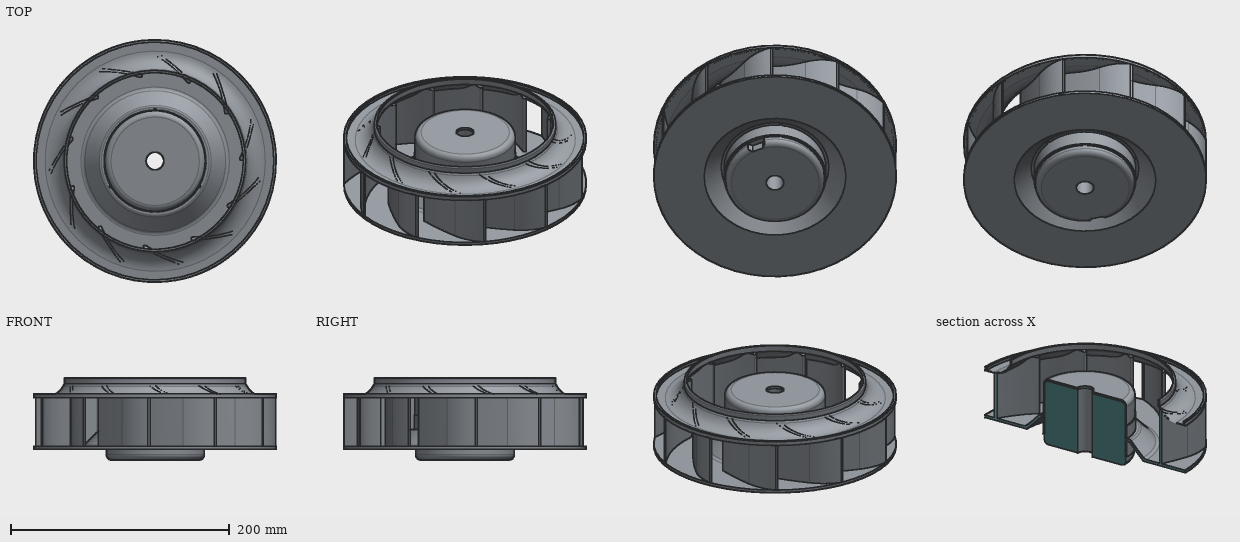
import cadquery as cq
import math

OUTER_RADIUS = 110.9
TOTAL_HEIGHT = 75.2
SHAFT_HOLE_RADIUS = 8.0

PLATE_BOTTOM = 9.8
PLATE_THICKNESS = 2.9
PLATE_TOP = PLATE_BOTTOM + PLATE_THICKNESS
CONE_FOOT_RADIUS = 65.9
COLLAR_CORNER_RADIUS = 50.3
COLLAR_BORE_RADIUS = 46.5
COLLAR_TOP = PLATE_TOP + CONE_FOOT_RADIUS - COLLAR_CORNER_RADIUS
FOOT_BLEND = 2.0
COLLAR_BLEND = 1.0
NOTCH_COUNT = 3
NOTCH_RADIUS = 1.0
FIRST_NOTCH_ANGLE = 90.0

SHROUD_WALL = 1.0
RIM_TOP = 60.5
RIM_BOTTOM = 56.8
RIM_WIDTH = 2.2
DISC_TOP = RIM_BOTTOM + SHROUD_WALL
FLARE_START_RADIUS = 100.7
FLARE_RADIUS = 18.8
FLARE_ANGLE = 62.0
UNDERSIDE_RADIUS = FLARE_RADIUS + SHROUD_WALL
FLARE_CENTER_Z = DISC_TOP + FLARE_RADIUS
RING_OUTER_RADIUS = 83.0
RING_WALL = 2.2
RING_INNER_RADIUS = RING_OUTER_RADIUS - RING_WALL
RING_BOTTOM = 69.6
RING_EDGE_ROUND = 0.7

BLADE_COUNT = 11
FIRST_BLADE_ANGLE = -93.4
CONVEX_OUTER = (OUTER_RADIUS, 0.0)
CONVEX_OUTER_MIDDLE = (106.5, -6.8)
CONVEX_JOINT = (98.9, -14.4)
CONVEX_INNER = (80.5, -36.6)
NOSE_TIP = (78.3, -36.9)
CONCAVE_INNER = (77.8, -35.3)
CONCAVE_MIDDLE = (96.2, -13.5)
CONCAVE_OUTER = (OUTER_RADIUS, 1.1)
BLADE_TIP_DROP = 4.0
BLADE_SPACE_INNER_RADIUS = 71.0

ROTOR_TOP = 65.6
ROTOR_RADIUS = 46.0
ROTOR_SKIRT_TOP = 41.0
ROTOR_ROUND = 5.5
ROTOR_CAP = 2.2
ROTOR_WALL = 1.5
CAVITY_RADIUS = ROTOR_RADIUS - ROTOR_WALL
CAVITY_TOP = ROTOR_TOP - ROTOR_CAP
CAVITY_ROUND = ROTOR_ROUND - ROTOR_WALL

STATOR_RADIUS = 45.2
STATOR_ROUND = 5.0
CABLE_NOTCH_DEPTH = 5.5
CABLE_NOTCH_WIDTH = 16.2
CABLE_NOTCH_CHAMFER = 3.0


def revolve(profile):
    """Turn a closed (radius, z) profile about the Z axis."""
    return profile.close().revolve(360, (0, 0, 0), (0, 1, 0))


def cylinder(radius, bottom, top):
    return cq.Workplane("XY").workplane(offset=bottom).circle(radius).extrude(top - bottom)


def polar(point):
    radius, angle = point
    return (radius * math.cos(math.radians(angle)), radius * math.sin(math.radians(angle)))


def flare_point(radius, angle):
    """Point on a flare arc, with the angle counted from its lowest point."""
    return (
        FLARE_START_RADIUS - radius * math.sin(math.radians(angle)),
        FLARE_CENTER_Z - radius * math.cos(math.radians(angle)),
    )


def make_hub():
    slope = math.sqrt(0.5)
    shift = PLATE_THICKNESS * math.tan(math.radians(22.5))
    profile = (
        cq.Workplane("XZ")
        .moveTo(OUTER_RADIUS, PLATE_BOTTOM)
        .lineTo(OUTER_RADIUS, PLATE_TOP)
        .lineTo(CONE_FOOT_RADIUS + FOOT_BLEND, PLATE_TOP)
        .tangentArcPoint(
            (CONE_FOOT_RADIUS - FOOT_BLEND * slope, PLATE_TOP + FOOT_BLEND * slope), relative=False
        )
        .lineTo(COLLAR_CORNER_RADIUS + COLLAR_BLEND * slope, COLLAR_TOP - COLLAR_BLEND * slope)
        .tangentArcPoint((COLLAR_CORNER_RADIUS - COLLAR_BLEND, COLLAR_TOP), relative=False)
        .lineTo(COLLAR_BORE_RADIUS, COLLAR_TOP)
        .lineTo(COLLAR_BORE_RADIUS, COLLAR_TOP - PLATE_THICKNESS)
        .lineTo(COLLAR_CORNER_RADIUS - shift, COLLAR_TOP - PLATE_THICKNESS)
        .lineTo(CONE_FOOT_RADIUS - shift, PLATE_BOTTOM)
    )
    notches = (
        cq.Workplane("XY")
        .workplane(offset=PLATE_BOTTOM)
        .polarArray(COLLAR_BORE_RADIUS, FIRST_NOTCH_ANGLE, 360, NOTCH_COUNT)
        .circle(NOTCH_RADIUS)
        .extrude(COLLAR_TOP - PLATE_BOTTOM)
    )
    return revolve(profile).cut(notches)


def make_shroud():
    profile = (
        cq.Workplane("XZ")
        .moveTo(OUTER_RADIUS, RIM_BOTTOM)
        .lineTo(OUTER_RADIUS, RIM_TOP)
        .lineTo(OUTER_RADIUS - RIM_WIDTH, RIM_TOP)
        .lineTo(OUTER_RADIUS - RIM_WIDTH, DISC_TOP)
        .lineTo(FLARE_START_RADIUS, DISC_TOP)
        .threePointArc(
            flare_point(FLARE_RADIUS, FLARE_ANGLE / 2), flare_point(FLARE_RADIUS, FLARE_ANGLE)
        )
        .lineTo(RING_OUTER_RADIUS, RING_BOTTOM)
        .lineTo(RING_OUTER_RADIUS, TOTAL_HEIGHT - RING_EDGE_ROUND)
        .tangentArcPoint((RING_OUTER_RADIUS - RING_EDGE_ROUND, TOTAL_HEIGHT), relative=False)
        .lineTo(RING_INNER_RADIUS, TOTAL_HEIGHT)
        .lineTo(RING_INNER_RADIUS, RING_BOTTOM)
        .lineTo(*flare_point(UNDERSIDE_RADIUS, FLARE_ANGLE))
        .threePointArc(
            flare_point(UNDERSIDE_RADIUS, FLARE_ANGLE / 2), (FLARE_START_RADIUS, RIM_BOTTOM)
        )
    )
    return revolve(profile)


def make_blade_space():
    """Room for the blades between the hub plate and the underside of the shroud."""
    profile = (
        cq.Workplane("XZ")
        .moveTo(BLADE_SPACE_INNER_RADIUS, PLATE_TOP)
        .lineTo(OUTER_RADIUS, PLATE_TOP)
        .lineTo(OUTER_RADIUS, RIM_BOTTOM)
        .lineTo(FLARE_START_RADIUS, RIM_BOTTOM)
        .threePointArc(
            flare_point(UNDERSIDE_RADIUS, FLARE_ANGLE / 2),
            flare_point(UNDERSIDE_RADIUS, FLARE_ANGLE),
        )
        .lineTo(RING_INNER_RADIUS, RING_BOTTOM)
        .lineTo(BLADE_SPACE_INNER_RADIUS, RING_BOTTOM - BLADE_TIP_DROP)
    )
    return revolve(profile)


def make_blade():
    return (
        cq.Workplane("XY")
        .workplane(offset=PLATE_TOP)
        .moveTo(*polar(CONVEX_OUTER))
        .threePointArc(polar(CONVEX_OUTER_MIDDLE), polar(CONVEX_JOINT))
        .tangentArcPoint(polar(CONVEX_INNER), relative=False)
        .threePointArc(polar(NOSE_TIP), polar(CONCAVE_INNER))
        .threePointArc(polar(CONCAVE_MIDDLE), polar(CONCAVE_OUTER))
        .close()
        .extrude(RING_BOTTOM - PLATE_TOP)
        .intersect(make_blade_space())
    )


def make_impeller():
    impeller = make_hub().union(make_shroud())
    blade = make_blade()
    for index in range(BLADE_COUNT):
        angle = FIRST_BLADE_ANGLE + index * 360 / BLADE_COUNT
        impeller = impeller.union(blade.rotate((0, 0, 0), (0, 0, 1), angle))
    return impeller


def make_rotor():
    cup = cylinder(ROTOR_RADIUS, PLATE_BOTTOM, ROTOR_TOP).faces(">Z").edges().fillet(ROTOR_ROUND)
    skirt = cylinder(COLLAR_BORE_RADIUS, PLATE_BOTTOM, ROTOR_SKIRT_TOP)
    cavity = cylinder(CAVITY_RADIUS, PLATE_BOTTOM, CAVITY_TOP).faces(">Z").edges().fillet(CAVITY_ROUND)
    shaft_hole = cylinder(SHAFT_HOLE_RADIUS, PLATE_BOTTOM, ROTOR_TOP)
    return cup.union(skirt).cut(cavity).cut(shaft_hole)


def make_cable_notch():
    """Vertical notch in the -X side, chamfered along both floor corners."""
    return (
        cq.Workplane("XY")
        .box(2 * CABLE_NOTCH_DEPTH, CABLE_NOTCH_WIDTH, PLATE_BOTTOM, centered=(True, True, False))
        .edges("|Z and >X")
        .chamfer(CABLE_NOTCH_CHAMFER)
        .translate((-STATOR_RADIUS, 0, 0))
    )


def make_stator():
    base = cylinder(STATOR_RADIUS, 0, PLATE_BOTTOM).faces("<Z").edges().fillet(STATOR_ROUND)
    core = cylinder(CAVITY_RADIUS, PLATE_BOTTOM, CAVITY_TOP).faces(">Z").edges().fillet(CAVITY_ROUND)
    shaft_hole = cylinder(SHAFT_HOLE_RADIUS, 0, CAVITY_TOP)
    return base.cut(make_cable_notch()).union(core).cut(shaft_hole)


impeller = make_impeller()
rotor = make_rotor()
stator = make_stator()
result = cq.Compound.makeCompound([impeller.val(), rotor.val(), stator.val()])